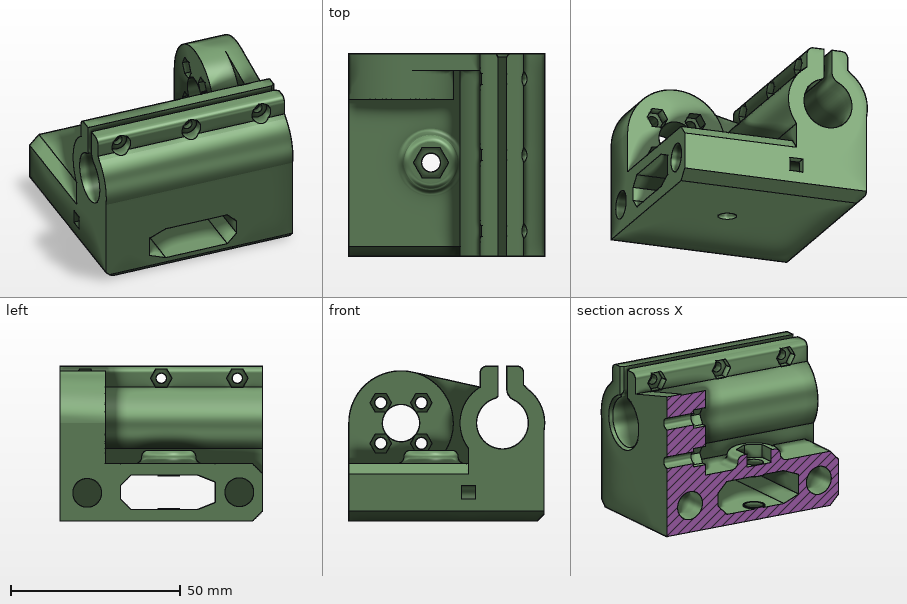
import cadquery as cq
import math

overall_width = 58.0
body_width = 57.8
body_length = 60.0
base_top = 17.0
front_chamfer = 3.0
corner_chamfer = 2.0
wall_x = 35.45

axis_z = 29.0
plate_radius = 15.5
plate_thickness = 13.5
plate_bore = 11.0
plate_hole = 3.5
plate_hole_offset = 6.0
web_thickness = 5.0

clamp_radius = 12.55
clamp_x = overall_width - clamp_radius
clamp_bore_radius = 7.6
clamp_top = 45.85
left_tab_width = 6.6
right_tab_width = 6.3
tab_rounding = 2.0
gusset_size = 1.1
slit_half_width = 1.25
left_lip_radius = 1.0
right_lip_radius = 3.6
lead_in_depth = 0.95
lead_in_width = 0.7

clamp_screw_z = 42.25
clamp_screw_first_y = 7.5
clamp_screw_pitch = 22.5
clamp_screw_count = 3
clamp_screw_hole = 3.0
screw_head = 6.0
screw_head_depth = 3.0
small_nut = 6.4
clamp_nut_depth = 2.5
plate_nut_depth = 4.0

boss_x = 24.35
boss_y = 27.8
boss_fillet = 2.0
boss_neck_radius = 8.05
boss_height = 2 * boss_fillet
boss_nut = 10.45
boss_hole = 5.5
land_diameter = 6.4
land_height = 0.25

cavity_z = 8.5
opening_half_height = 5.05
opening_front = 14.05
opening_back = 42.0
opening_back_chamfer = 3.0
opening_front_run = 5.15
opening_front_rise = 2.05
socket_diameter = 8.5
socket_depth = 45.0
socket_front_y = 6.9
socket_front_z = 8.5
socket_back_y = 51.9
socket_back_z = 8.35
window_size = 4.1
groove_size = 0.6

plate_front = body_length - plate_thickness
tab_left = clamp_x - left_tab_width
tab_right = clamp_x + right_tab_width


def cylinder(radius, length, start, direction):
    return cq.Workplane(cq.Solid.makeCylinder(radius, length, cq.Vector(*start), cq.Vector(*direction)))


def hex_prism(across_corners, depth, start, direction, corner_direction):
    plane = cq.Plane(origin=start, xDir=corner_direction, normal=direction)
    return cq.Workplane(plane).polygon(6, across_corners).extrude(depth)


def along_y(sketch, y_start, y_end):
    """Extrude a closed XZ outline from y_start to y_end."""
    return sketch.extrude(-(y_end - y_start)).translate((0, y_start, 0))


def block_between(x_min, x_max, y_min, y_max, z_min, z_max):
    return cq.Workplane("XY").box(
        x_max - x_min, y_max - y_min, z_max - z_min, centered=False
    ).translate((x_min, y_min, z_min))


def make_base():
    return (
        block_between(0, wall_x, 0, body_length, 0, base_top)
        .faces("<Y")
        .edges("|X")
        .chamfer(front_chamfer)
    )


def make_wall():
    """Block under the clamp, chamfered along its bottom front and bottom right edges."""
    block = block_between(wall_x, body_width, 0, body_length, 0, axis_z)
    block = block.edges("|X and <Y and <Z").chamfer(front_chamfer)
    return block.edges("|Y and >X and <Z").chamfer(corner_chamfer)


def make_motor_plate():
    disc = cylinder(plate_radius, plate_thickness, (plate_radius, plate_front, axis_z), (0, 1, 0))
    left_fill = block_between(0, plate_radius, plate_front, body_length, 0, axis_z)
    return disc.union(left_fill)


def make_web():
    """Rear web whose sloping top is tangent to the plate and ends at the clamp tab."""
    tab_foot_z = axis_z + math.sqrt(clamp_radius**2 - left_tab_width**2)
    run = tab_left - plate_radius
    rise = tab_foot_z - axis_z
    tangent_angle = math.atan2(rise, run) + math.acos(plate_radius / math.hypot(run, rise))
    tangent_x = plate_radius * (1 + math.cos(tangent_angle))
    tangent_z = axis_z + plate_radius * math.sin(tangent_angle)
    outline = (
        cq.Workplane("XZ")
        .moveTo(plate_radius, 0)
        .lineTo(clamp_x, 0)
        .lineTo(clamp_x, axis_z)
        .lineTo(tab_left, tab_foot_z)
        .lineTo(tangent_x, tangent_z)
        .lineTo(plate_radius, axis_z)
        .close()
    )
    return along_y(outline, body_length - web_thickness, body_length)


def make_clamp():
    """Round clamp body with two tabs; a 45 degree gusset joins the right tab to the round."""
    body = cylinder(clamp_radius, body_length, (clamp_x, 0, axis_z), (0, 1, 0))
    tabs = block_between(tab_left, tab_right, 0, body_length, axis_z, clamp_top)
    tabs = tabs.edges("|Y and >Z").fillet(tab_rounding)

    gusset_reach = right_tab_width + gusset_size
    gusset_foot_z = axis_z + math.sqrt(clamp_radius**2 - gusset_reach**2)
    gusset = (
        cq.Workplane("XZ")
        .moveTo(clamp_x, axis_z)
        .lineTo(clamp_x + gusset_reach, gusset_foot_z)
        .lineTo(tab_right, gusset_foot_z + gusset_size)
        .close()
    )
    return body.union(tabs).union(along_y(gusset, 0, body_length))


def slit_lip_cutter(side, lip_radius):
    """Half of the slit, rounded where it opens into the bore; side is -1 (left) or 1 (right)."""
    lip_x = slit_half_width + lip_radius
    lip_rise = math.sqrt((clamp_bore_radius + lip_radius)**2 - lip_x**2)
    half = (
        cq.Workplane("XZ")
        .moveTo(clamp_x, axis_z)
        .lineTo(clamp_x, clamp_top)
        .lineTo(clamp_x + side * slit_half_width, clamp_top)
        .lineTo(clamp_x + side * slit_half_width, axis_z + lip_rise)
        .lineTo(clamp_x + side * lip_x, axis_z + lip_rise)
        .close()
    )
    lip = cylinder(lip_radius, body_length, (clamp_x + side * lip_x, 0, axis_z + lip_rise), (0, 1, 0))
    return along_y(half, 0, body_length).cut(lip)


def make_clamp_opening():
    """Bore and slit, both flared at the rear end."""
    bore = cylinder(clamp_bore_radius, body_length, (clamp_x, 0, axis_z), (0, 1, 0))
    lead_in_start = body_length - lead_in_depth
    bore_flare = cq.Workplane(
        cq.Solid.makeCone(
            clamp_bore_radius,
            clamp_bore_radius + lead_in_width,
            lead_in_depth,
            cq.Vector(clamp_x, lead_in_start, axis_z),
            cq.Vector(0, 1, 0),
        )
    )
    flared_half_width = slit_half_width + lead_in_width
    slit_flare = (
        cq.Workplane("XY", origin=(clamp_x, 0, axis_z))
        .moveTo(-slit_half_width, lead_in_start)
        .lineTo(slit_half_width, lead_in_start)
        .lineTo(flared_half_width, body_length)
        .lineTo(-flared_half_width, body_length)
        .close()
        .extrude(clamp_top - axis_z)
    )
    opening = bore.union(bore_flare).union(slit_flare)
    opening = opening.union(slit_lip_cutter(-1, left_lip_radius))
    return opening.union(slit_lip_cutter(1, right_lip_radius))


def make_clamp_screw(y):
    """Cross hole with a nut pocket in the left tab and a head recess in the right tab."""
    head_length = body_width - tab_right + screw_head_depth
    hole = cylinder(clamp_screw_hole / 2, tab_right - tab_left, (tab_left, y, clamp_screw_z), (1, 0, 0))
    nut = hex_prism(small_nut, clamp_nut_depth, (tab_left, y, clamp_screw_z), (1, 0, 0), (0, 1, 0))
    head_start = (tab_right - screw_head_depth, y, clamp_screw_z)
    return hole.union(nut).union(cylinder(screw_head / 2, head_length, head_start, (1, 0, 0)))


def make_plate_holes():
    """Central bore and four screw holes with nut pockets in the front face of the plate."""
    holes = cylinder(plate_bore / 2, plate_thickness, (plate_radius, plate_front, axis_z), (0, 1, 0))
    for x_side in (-1, 1):
        for z_side in (-1, 1):
            start = (
                plate_radius + x_side * plate_hole_offset,
                plate_front,
                axis_z + z_side * plate_hole_offset,
            )
            holes = holes.union(cylinder(plate_hole / 2, plate_thickness, start, (0, 1, 0)))
            holes = holes.union(hex_prism(small_nut, plate_nut_depth, start, (0, 1, 0), (1, 0, 0)))
    return holes


def make_boss():
    """Round boss: concave fillet from the base up to the neck, then a rounded top edge."""
    foot_radius = boss_neck_radius + boss_fillet
    top_radius = boss_neck_radius - boss_fillet
    fillet_offset = boss_fillet * math.sqrt(0.5)
    profile = (
        cq.Workplane("XZ")
        .moveTo(0, 0)
        .lineTo(foot_radius, 0)
        .threePointArc(
            (foot_radius - fillet_offset, boss_fillet - fillet_offset),
            (boss_neck_radius, boss_fillet),
        )
        .threePointArc(
            (top_radius + fillet_offset, boss_fillet + fillet_offset),
            (top_radius, boss_height),
        )
        .lineTo(0, boss_height)
        .close()
    )
    return profile.revolve(360, (0, 0, 0), (0, 1, 0)).translate((boss_x, boss_y, base_top))


def make_side_opening():
    """Opening through the base along X, with small round lands left around the boss hole."""
    bottom = cavity_z - opening_half_height
    top = cavity_z + opening_half_height
    front_low = bottom + opening_front_rise
    front_high = top - opening_front_rise
    opening = (
        cq.Workplane("YZ")
        .moveTo(opening_front, front_low)
        .lineTo(opening_front + opening_front_run, bottom)
        .lineTo(opening_back - opening_back_chamfer, bottom)
        .lineTo(opening_back, bottom + opening_back_chamfer)
        .lineTo(opening_back, top - opening_back_chamfer)
        .lineTo(opening_back - opening_back_chamfer, top)
        .lineTo(opening_front + opening_front_run, top)
        .lineTo(opening_front, front_high)
        .close()
        .extrude(body_width)
    )
    for land_bottom in (bottom, top - land_height):
        land = cylinder(land_diameter / 2, land_height, (boss_x, boss_y, land_bottom), (0, 0, 1))
        opening = opening.cut(land)
    return opening


def make_base_cavities():
    """Side opening, the two blind sockets, the front window and the groove along the wall."""
    cavities = make_side_opening()
    for y, z in ((socket_front_y, socket_front_z), (socket_back_y, socket_back_z)):
        cavities = cavities.union(
            cylinder(socket_diameter / 2, socket_depth, (0, y, z), (1, 0, 0))
        )
    half_window = window_size / 2
    window = block_between(
        wall_x - half_window, wall_x + half_window,
        0, socket_front_y,
        cavity_z - half_window, cavity_z + half_window,
    )
    groove = block_between(
        wall_x - groove_size, wall_x,
        opening_front, opening_back,
        base_top - groove_size, base_top,
    )
    return cavities.union(window).union(groove)


def make_boss_holes():
    through = cylinder(boss_hole / 2, base_top + boss_height, (boss_x, boss_y, 0), (0, 0, 1))
    nut = hex_prism(boss_nut, boss_height, (boss_x, boss_y, base_top), (0, 0, 1), (1, 0, 0))
    return through.union(nut)


solid = make_base().union(make_wall()).union(make_clamp()).union(make_web())
solid = solid.union(make_motor_plate()).union(make_boss())
solid = solid.cut(make_clamp_opening()).cut(make_plate_holes())
solid = solid.cut(make_base_cavities()).cut(make_boss_holes())
for index in range(clamp_screw_count):
    solid = solid.cut(make_clamp_screw(clamp_screw_first_y + index * clamp_screw_pitch))

result = solid